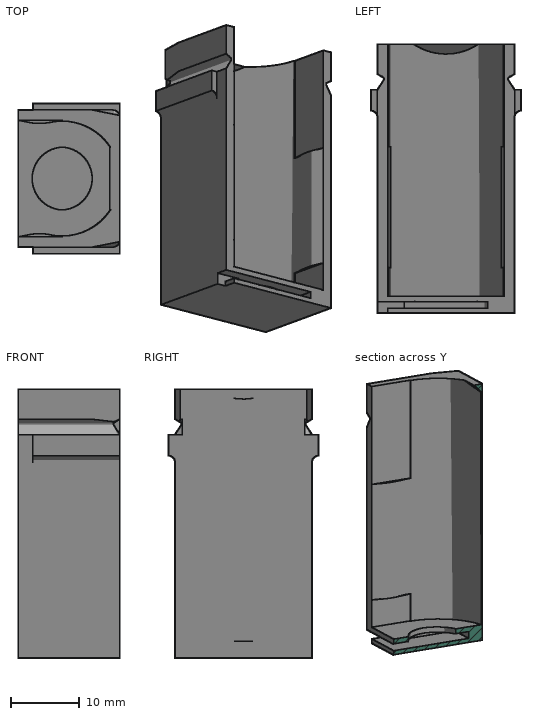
import cadquery as cq
import math

body_length = 14.9
body_half_width = 10.05
body_height = 39.43

axis_x = 6.45
cell_radius = 8.42
mouth_half_width = 8.55
floor_top = 2.48
lip_x = 13.4

bump_bottom = 6.65
bump_top = 24.4
bump_rise_x = 2.0
bump_peak_x = 3.3
bump_fall_x = 4.8
bump_rise_height = 0.4
bump_peak_height = 0.48

slot_bottom = 0.7
slot_top = 1.67
slot_half_width = 6.1
slot_corner_radius = 1.1
channel_depth = 2.0
window_half_length = 4.4
window_half_width = 4.6

rail_start_x = 2.15
rail_thickness = 0.975
rail_top = 32.75
rail_face_bottom = 29.65

groove_depth = 1.05
groove_apex_radius = 0.25
groove_apex_z = 34.4
groove_top = 35.0

taper_start_x = 10.85
taper_inset = 0.8


def both_sides(shape):
    """Join a shape with its mirror image across Y = 0."""
    return shape.union(shape.mirror("XZ"))


def block(x_range, y_range, z_range):
    """Box between the given limits on each axis."""
    spans = [high - low for low, high in (x_range, y_range, z_range)]
    corner = (x_range[0], y_range[0], z_range[0])
    return cq.Workplane("XY").box(*spans, centered=False).translate(corner)


def make_rail():
    """Rail on the +Y face, with a concave underside."""
    outer_y = body_half_width + rail_thickness
    sag = rail_thickness * (1 - math.sqrt(0.5))
    return (
        cq.Workplane("YZ", origin=(rail_start_x, 0, 0))
        .moveTo(body_half_width, rail_top)
        .lineTo(outer_y, rail_top)
        .lineTo(outer_y, rail_face_bottom)
        .threePointArc(
            (body_half_width + sag, rail_face_bottom - sag),
            (body_half_width, rail_face_bottom - rail_thickness),
        )
        .close()
        .extrude(body_length - rail_start_x)
    )


def make_groove():
    """V groove along the +Y face, turning inward around the closed-end corner."""
    turn_x = body_length - groove_depth
    turn_y = body_half_width - groove_depth
    clear_y = body_half_width + groove_depth
    outline = cq.Sketch().polygon([
        (clear_y, rail_top),
        (body_half_width, rail_top),
        (body_half_width - groove_depth, groove_apex_z),
        (body_half_width, groove_top),
        (clear_y, groove_top),
        (clear_y, rail_top),
    ]).vertices("<X").fillet(groove_apex_radius)
    straight = cq.Workplane("YZ").placeSketch(outline).extrude(turn_x)
    turn = (
        cq.Workplane("YZ", origin=(turn_x, 0, 0))
        .placeSketch(outline)
        .revolve(90, (turn_y, 1), (turn_y, 0))
    )
    return straight.union(turn)


def make_taper():
    """Wedge taken off the shoulder on the +Y side."""
    return (
        cq.Workplane("XY", origin=(0, 0, groove_apex_z))
        .polyline([
            (taper_start_x, body_half_width),
            (body_length, body_half_width),
            (body_length, body_half_width - taper_inset),
        ])
        .close()
        .extrude(body_height - groove_apex_z)
    )


def make_lip():
    """Wedge kept at the top of the end wall, with a 45 degree underside."""
    reach = body_length - lip_x
    return (
        cq.Workplane("XZ")
        .polyline([
            (lip_x, body_height),
            (body_length, body_height),
            (body_length, body_height - reach),
        ])
        .close()
        .extrude(body_half_width, both=True)
    )


def make_bump():
    """Rounded bump on the +Y mouth wall, running out at the cell cylinder."""
    wall_y = mouth_half_width
    fall_y = math.sqrt(cell_radius**2 - (axis_x - bump_fall_x) ** 2)
    return (
        cq.Workplane("XY", origin=(0, 0, bump_bottom))
        .moveTo(0, wall_y)
        .lineTo(bump_rise_x, wall_y - bump_rise_height)
        .threePointArc((bump_peak_x, wall_y - bump_peak_height), (bump_fall_x, fall_y))
        .lineTo(axis_x, cell_radius)
        .lineTo(axis_x, wall_y)
        .close()
        .extrude(bump_top - bump_bottom)
    )


def make_cavity():
    """Cell cylinder and its mouth, less the retaining bumps and the lip."""
    cell = (
        cq.Workplane("XY", origin=(axis_x, 0, floor_top))
        .circle(cell_radius)
        .extrude(body_height - floor_top)
    )
    mouth = block(
        (0, axis_x), (-mouth_half_width, mouth_half_width), (floor_top, body_height)
    ).cut(both_sides(make_bump()))
    return cell.union(mouth).cut(make_lip())


def make_contact_slot():
    """Contact pocket from the open face, its side channel to +Y and the foot notch."""
    pocket = block(
        (0, axis_x + slot_half_width), (-slot_half_width, slot_half_width), (slot_bottom, slot_top)
    ).edges("|Z and >X").fillet(slot_corner_radius)
    channel = block((0, channel_depth), (0, body_half_width), (slot_bottom, slot_top))
    notch = block((0, channel_depth), (mouth_half_width, body_half_width), (0, slot_bottom))
    return pocket.union(channel).union(notch)


def make_window():
    """Nearly round opening in the floor, formed by two arcs."""
    return (
        cq.Workplane("XY", origin=(axis_x, 0, slot_bottom))
        .moveTo(0, -window_half_width)
        .threePointArc((window_half_length, 0), (0, window_half_width))
        .threePointArc((-window_half_length, 0), (0, -window_half_width))
        .close()
        .extrude(floor_top - slot_bottom)
    )


result = (
    block((0, body_length), (-body_half_width, body_half_width), (0, body_height))
    .cut(both_sides(make_groove()))
    .cut(both_sides(make_taper()))
    .union(both_sides(make_rail()))
    .cut(make_cavity())
    .cut(make_contact_slot())
    .cut(make_window())
)